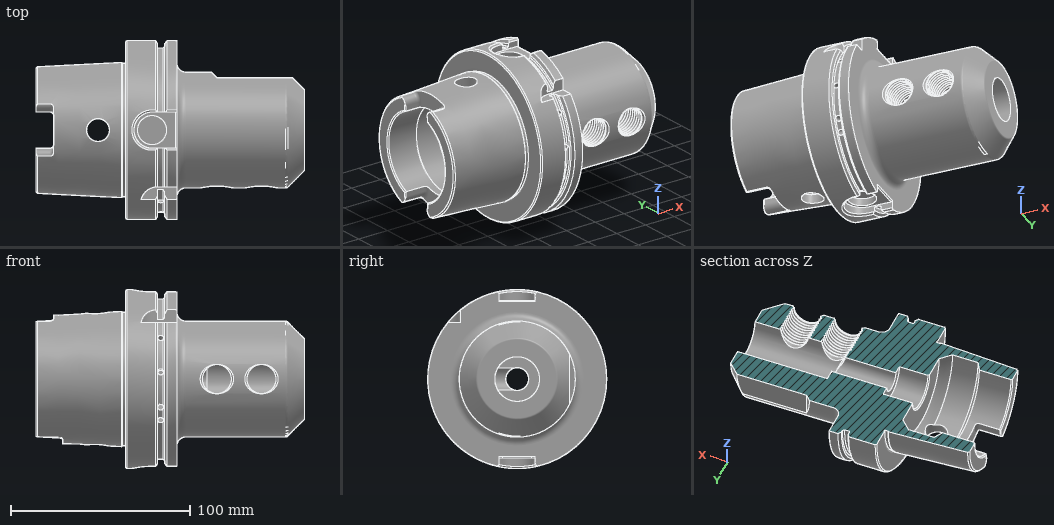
import cadquery as cq
import math


total_length = 150.0
shank_length = total_length / 3
nose_end = total_length - shank_length
shank_end = -shank_length

shank_tip_radius = 35.4
shank_root_radius = 37.8
shank_tip_chamfer = 0.9
undercut_length = 2.1
undercut_radius = 37.4
undercut_face_radius = 38.8
undercut_face_depth = 0.3

mouth_radius = 26.4
mouth_chamfer = 0.8
mouth_length = 20.0
clamping_radius = 31.5
clamping_angle = 60.0
floor_rim_radius = 25.8
floor_bevel_length = 5.7
hollow_floor_x = -6.0
coolant_tube_radius = 11.4
coolant_tube_chamfer = 0.8
coolant_tube_depth = 18.0
channel_radius = 6.3

drive_slot_half_width = 10.0
drive_slot_lip_height = 32.2
drive_slot_lip_radius = 4.5
drive_slot_floor_fillet = 2.0
drive_slot_entry_chamfer = 0.6
upper_drive_slot_depth = 9.9
lower_drive_slot_depth = 15.0
cross_hole_x = -15.3
cross_hole_radius = 6.3

flange_radius = total_length / 3
flange_width = 28.8
flange_chamfer = 0.8
flange_rear_bevel_length = 0.8
flange_rear_bevel_depth = 0.2
groove_start = 16.8
groove_end = 23.2
groove_floor_start = 18.0
groove_floor_end = 21.9
groove_corner_chamfer = 0.9
groove_bevel_depth = 1.8
groove_floor_radius = 45.9

gripper_slot_x = 14.8
gripper_slot_half_width = 10.0
gripper_slot_chamfer = 1.2
gripper_slot_end_chamfer = 0.8
gripper_slot_floor = 44.0
chip_hole_radius = 8.1
chip_hole_depth = 4.5

notch_wall_y = -31.6
notch_floor_z = 31.6
notch_corner_x = groove_floor_start
notch_corner_radius = 9.6

rim_hole_angles = (30, 5, -20, -30)
rim_hole_x = 19.6
rim_hole_radius = 1.6
rim_hole_depth = 9.0

nose_radius = 32.4
nose_root_fillet = 4.8
nose_tip_radius = 22.5
nose_shoulder_round = 2.0
nose_tip_round = 1.5
nose_flat_y = 29.2
nose_flat_start = 48.0
tool_bore_radius = 12.5
tool_bore_start = 45.6

screw_xs = (51.0, 75.9)
thread_minor_radius = 8.1
thread_major_radius = 9.0
thread_mouth_radius = 9.3
thread_pitch = 6 / 3

reach = 2 * flange_radius


def revolve_about_x(outline):
    return outline.close().revolve(360, (0, 0, 0), (1, 0, 0))


def make_body():
    shoulder_x = nose_end - (nose_radius - nose_tip_radius)
    bevel_angle = math.radians(45)
    slope = math.cos(bevel_angle)
    shoulder_tangent = nose_shoulder_round * math.tan(bevel_angle / 2)
    tip_tangent = nose_tip_round * math.tan(bevel_angle / 2)
    outline = (
        cq.Workplane("XY")
        .moveTo(shank_end, 0)
        .lineTo(shank_end, shank_tip_radius - shank_tip_chamfer)
        .lineTo(shank_end + shank_tip_chamfer, shank_tip_radius)
        .lineTo(-undercut_length, shank_root_radius)
        .lineTo(-undercut_length + (shank_root_radius - undercut_radius), undercut_radius)
        .lineTo(undercut_face_depth, undercut_radius)
        .lineTo(undercut_face_depth, shank_root_radius)
        .lineTo(0, undercut_face_radius)
        .lineTo(0, flange_radius - flange_chamfer)
        .lineTo(flange_chamfer, flange_radius)
        .lineTo(flange_width - flange_rear_bevel_length, flange_radius)
        .lineTo(flange_width, flange_radius - flange_rear_bevel_depth)
        .lineTo(flange_width, nose_radius + nose_root_fillet)
        .radiusArc((flange_width + nose_root_fillet, nose_radius), -nose_root_fillet)
        .lineTo(shoulder_x - shoulder_tangent, nose_radius)
        .radiusArc(
            (shoulder_x + shoulder_tangent * slope, nose_radius - shoulder_tangent * slope),
            nose_shoulder_round,
        )
        .lineTo(nose_end - tip_tangent * slope, nose_tip_radius + tip_tangent * slope)
        .radiusArc((nose_end, nose_tip_radius - tip_tangent), nose_tip_round)
        .lineTo(nose_end, 0)
    )
    return revolve_about_x(outline)


def make_gripper_groove():
    bevel_radius = flange_radius - groove_bevel_depth
    outline = (
        cq.Workplane("XY")
        .moveTo(groove_start, flange_radius)
        .lineTo(groove_floor_start, bevel_radius)
        .lineTo(groove_floor_start, groove_floor_radius)
        .lineTo(groove_floor_end - groove_corner_chamfer, groove_floor_radius)
        .lineTo(groove_floor_end, groove_floor_radius + groove_corner_chamfer)
        .lineTo(groove_floor_end, bevel_radius)
        .lineTo(groove_end, flange_radius)
    )
    return revolve_about_x(outline)


def make_hollow():
    """Clamping hollow, coolant tube seat, coolant channel and tool bore along the axis."""
    mouth_end = shank_end + mouth_length
    cone_length = (clamping_radius - mouth_radius) / math.tan(math.radians(clamping_angle))
    tube_floor_x = hollow_floor_x + coolant_tube_depth
    outline = (
        cq.Workplane("XY")
        .moveTo(shank_end, 0)
        .lineTo(shank_end, mouth_radius + mouth_chamfer)
        .lineTo(shank_end + mouth_chamfer, mouth_radius)
        .lineTo(mouth_end, mouth_radius)
        .lineTo(mouth_end + cone_length, clamping_radius)
        .lineTo(hollow_floor_x - floor_bevel_length, clamping_radius)
        .lineTo(hollow_floor_x, floor_rim_radius)
        .lineTo(hollow_floor_x, coolant_tube_radius + coolant_tube_chamfer)
        .lineTo(hollow_floor_x + coolant_tube_chamfer, coolant_tube_radius)
        .lineTo(tube_floor_x, coolant_tube_radius)
        .lineTo(tube_floor_x, channel_radius)
        .lineTo(tool_bore_start, channel_radius)
        .lineTo(tool_bore_start, tool_bore_radius)
        .lineTo(nose_end, tool_bore_radius)
        .lineTo(nose_end, 0)
    )
    return revolve_about_x(outline)


def make_drive_slot(depth):
    """Slot through the upper shank wall, its mouth flaring over a rounded lip."""
    lip_y = drive_slot_half_width + drive_slot_lip_radius
    lip_start_z = drive_slot_lip_height - drive_slot_lip_radius
    slot = (
        cq.Workplane("YZ", origin=(shank_end, 0, 0))
        .moveTo(-drive_slot_half_width, 0)
        .lineTo(-drive_slot_half_width, lip_start_z)
        .radiusArc((-lip_y, drive_slot_lip_height), -drive_slot_lip_radius)
        .lineTo(-lip_y, shank_root_radius)
        .lineTo(lip_y, shank_root_radius)
        .lineTo(lip_y, drive_slot_lip_height)
        .radiusArc((drive_slot_half_width, lip_start_z), -drive_slot_lip_radius)
        .lineTo(drive_slot_half_width, 0)
        .close()
        .extrude(depth)
        .faces(">X")
        .edges("not <Z")
        .edges("not >Z")
        .fillet(drive_slot_floor_fillet)
    )
    entry_half_width = drive_slot_half_width + drive_slot_entry_chamfer
    entry = (
        cq.Workplane("XY")
        .moveTo(shank_end, entry_half_width)
        .lineTo(shank_end + drive_slot_entry_chamfer, drive_slot_half_width)
        .lineTo(shank_end + drive_slot_entry_chamfer, -drive_slot_half_width)
        .lineTo(shank_end, -entry_half_width)
        .close()
        .extrude(lip_start_z)
    )
    return slot.union(entry)


def make_gripper_slot():
    """Round-ended slot open towards the nose, with a blind hole in its floor."""
    half_width = gripper_slot_half_width
    slot = (
        cq.Workplane("XY", origin=(0, 0, gripper_slot_floor))
        .moveTo(nose_end, half_width)
        .lineTo(gripper_slot_x, half_width)
        .threePointArc((gripper_slot_x - half_width, 0), (gripper_slot_x, -half_width))
        .lineTo(nose_end, -half_width)
        .close()
        .extrude(reach)
    )
    chip_hole = (
        cq.Workplane("XY", origin=(gripper_slot_x, 0, gripper_slot_floor - chip_hole_depth))
        .circle(chip_hole_radius)
        .extrude(reach)
    )
    end_chamfer = (
        cq.Workplane("XZ", origin=(0, half_width, 0))
        .moveTo(flange_width - gripper_slot_end_chamfer, gripper_slot_floor)
        .lineTo(flange_width, gripper_slot_floor - gripper_slot_end_chamfer)
        .lineTo(flange_width, gripper_slot_floor)
        .close()
        .extrude(2 * half_width)
    )
    return slot.union(chip_hole).union(end_chamfer)


def make_notch():
    """Corner cut with an upright wall and a level floor, ending in a cutter radius."""
    end_y = notch_wall_y - notch_corner_radius
    return (
        cq.Workplane("XY", origin=(0, 0, notch_floor_z))
        .moveTo(nose_end, notch_wall_y)
        .lineTo(notch_corner_x, notch_wall_y)
        .radiusArc((notch_corner_x - notch_corner_radius, end_y), -notch_corner_radius)
        .lineTo(notch_corner_x - notch_corner_radius, -reach)
        .lineTo(nose_end, -reach)
        .close()
        .extrude(reach)
    )


def make_rim_hole(angle):
    bottom = groove_floor_radius - rim_hole_depth
    hole = (
        cq.Workplane("XZ", origin=(rim_hole_x, -bottom, 0))
        .circle(rim_hole_radius)
        .extrude(2 * rim_hole_depth)
    )
    return hole.rotate((0, 0, 0), (1, 0, 0), -angle)


def make_nose_flat():
    """Flat along the +Y side of the nose, reached by a 45 degree ramp."""
    ramp = nose_radius - nose_flat_y
    return (
        cq.Workplane("XY", origin=(0, 0, -reach))
        .moveTo(nose_flat_start, nose_radius)
        .lineTo(nose_flat_start + ramp, nose_flat_y)
        .lineTo(nose_end, nose_flat_y)
        .lineTo(nose_end, nose_radius)
        .close()
        .extrude(2 * reach)
    )


def make_screw_hole(x):
    """Threaded hole from -Y into the tool bore, its thread made of ring grooves."""
    mouth_bevel = thread_mouth_radius - thread_minor_radius
    outline = (
        cq.Workplane("XY")
        .moveTo(0, 0)
        .lineTo(thread_minor_radius, 0)
        .lineTo(thread_minor_radius, -tool_bore_radius)
    )
    ring_count = math.floor((nose_radius - mouth_bevel - tool_bore_radius) / thread_pitch)
    for ring in range(ring_count):
        ring_start = -tool_bore_radius - ring * thread_pitch
        outline = (
            outline.lineTo(thread_major_radius, ring_start - thread_pitch / 2)
            .lineTo(thread_minor_radius, ring_start - thread_pitch)
        )
    outline = (
        outline.lineTo(thread_minor_radius, -nose_radius + mouth_bevel)
        .lineTo(thread_mouth_radius, -nose_radius)
        .lineTo(0, -nose_radius)
        .close()
    )
    return outline.revolve(360, (0, 0, 0), (0, 1, 0)).translate((x, 0, 0))


result = make_body().cut(make_hollow())
result = result.cut(make_drive_slot(upper_drive_slot_depth))
result = result.cut(make_drive_slot(lower_drive_slot_depth).rotate((0, 0, 0), (1, 0, 0), 180))
cross_hole = (
    cq.Workplane("XY", origin=(cross_hole_x, 0, -reach))
    .circle(cross_hole_radius)
    .extrude(2 * reach)
)
result = result.cut(cross_hole)
for side_angle in (0, 180):
    result = result.cut(make_gripper_slot().rotate((0, 0, 0), (1, 0, 0), side_angle))

for side in (1, -1):
    rim_bottom = side * (gripper_slot_floor + 3)
    rim_box = cq.selectors.BoxSelector((1.5, -13.5, rim_bottom), (flange_width - 0.9, 13.5, side * reach))
    result = result.edges(rim_box).chamfer(gripper_slot_chamfer)

result = result.cut(make_gripper_groove())
result = result.cut(make_notch())
for angle in rim_hole_angles:
    result = result.cut(make_rim_hole(angle))
result = result.cut(make_nose_flat())
for screw_x in screw_xs:
    result = result.cut(make_screw_hole(screw_x))